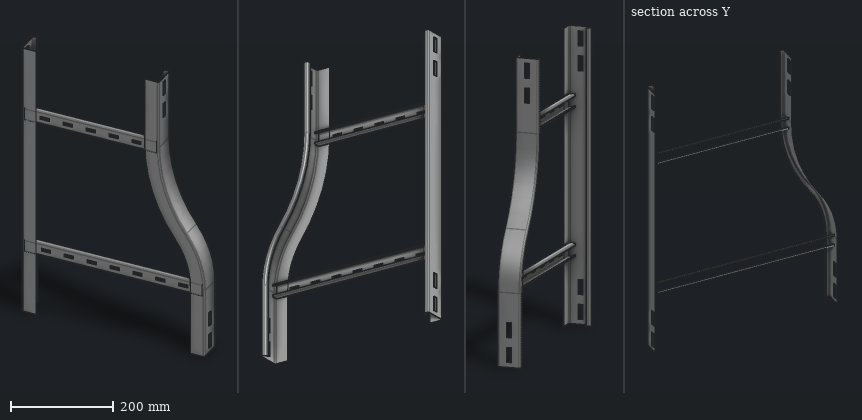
import cadquery as cq
import math

LENGTH = 600.0
WIDE_WIDTH = LENGTH * 2 / 3
NARROW_WIDTH = LENGTH / 2
SHEET = 1.5
CUTTER_DEPTH = 4 * SHEET

RAIL_DEPTH = LENGTH / 12
FRONT_FLANGE = 31.0
BACK_FLANGE = 12.5
LIP = 9.0
RAIL_BEND = 3.5
LIP_BEND = 5.0

BEND_LOW_Z = LENGTH / 4
BEND_HIGH_Z = LENGTH * 3 / 4
BEND_HEIGHT = BEND_HIGH_Z - BEND_LOW_Z
BEND_SHIFT = WIDE_WIDTH - NARROW_WIDTH
BEND_ANGLE = 2 * math.atan(BEND_SHIFT / BEND_HEIGHT)
LOWER_RADIUS = LENGTH / 3

RAIL_SLOTS_PER_END = 2
RAIL_SLOT_LENGTH = 30.0
RAIL_SLOT_WIDTH = 9.5
SLOT_PITCH = LENGTH / 12
RAIL_SLOT_END = SLOT_PITCH / 2

RUNG_HEIGHT = 28.0
RUNG_DEPTH = 15.0
RUNG_LIP = 5.0
RUNG_BEND = 2.5
RUNG_INSET = 6.0
RUNG_SLOT_LENGTH = 20.0
RUNG_SLOT_WIDTH = 6.0
LOW_RUNG_Z = BEND_LOW_Z
HIGH_RUNG_Z = BEND_HIGH_Z
LOW_SLOT_COUNT = 7
HIGH_SLOT_COUNT = 5
LOW_SLOT_START = 52.0
HIGH_SLOT_START = SLOT_PITCH


def bent_section(outer, inner, bend_radii):
    """Wire in the XY plane of a bent strip.

    `outer` and `inner` list the corners of its two sides from end to end;
    `bend_radii` holds the outer radius of each bend in the same order.
    """
    wire = cq.Wire.makePolygon([cq.Vector(*p) for p in outer + inner[::-1]], close=True)
    for corners, wall in ((outer, 0), (inner, SHEET)):
        for corner, bend_radius in zip(corners[1:-1], bend_radii):
            bend = cq.Vector(*corner)
            vertex = min(wire.Vertices(), key=lambda v: (v.Center() - bend).Length)
            wire = wire.fillet2D(bend_radius - wall, [vertex])
    return wire


def rail_section(web_x, inward):
    """Rail section with its outer web face at web_x; inward is the X direction (1 or -1) of the flanges."""
    outer = [
        (FRONT_FLANGE, 0),
        (0, 0),
        (0, RAIL_DEPTH),
        (BACK_FLANGE, RAIL_DEPTH),
        (BACK_FLANGE, RAIL_DEPTH - LIP),
    ]
    inner = [
        (FRONT_FLANGE, SHEET),
        (SHEET, SHEET),
        (SHEET, RAIL_DEPTH - SHEET),
        (BACK_FLANGE - SHEET, RAIL_DEPTH - SHEET),
        (BACK_FLANGE - SHEET, RAIL_DEPTH - LIP),
    ]
    return bent_section(
        [(web_x + inward * x, y) for x, y in outer],
        [(web_x + inward * x, y) for x, y in inner],
        [RAIL_BEND, RAIL_BEND, LIP_BEND],
    )


def rail_slots(low_x, high_x):
    """Cutters for the web slots of a rail whose outer web face is at low_x below and high_x above."""
    cutters = cq.Workplane()
    for i in range(RAIL_SLOTS_PER_END):
        offset = RAIL_SLOT_END + i * SLOT_PITCH
        for x, z in ((low_x, offset), (high_x, LENGTH - offset)):
            cutter = cq.Workplane().box(CUTTER_DEPTH, RAIL_SLOT_WIDTH, RAIL_SLOT_LENGTH)
            cutters = cutters.add(cutter.translate((x, RAIL_DEPTH / 2, z)))
    return cutters.combine()


def make_straight_rail():
    rail = cq.Workplane(rail_section(0, 1)).toPending().extrude(LENGTH)
    return rail.cut(rail_slots(0, 0))


def make_curved_rail():
    join_x = WIDE_WIDTH - LOWER_RADIUS * (1 - math.cos(BEND_ANGLE))
    join_z = BEND_LOW_Z + LOWER_RADIUS * math.sin(BEND_ANGLE)
    path = (
        cq.Workplane("XZ")
        .moveTo(WIDE_WIDTH, 0)
        .lineTo(WIDE_WIDTH, BEND_LOW_Z)
        .tangentArcPoint((join_x, join_z), relative=False)
        .tangentArcPoint((NARROW_WIDTH, BEND_HIGH_Z), relative=False)
        .lineTo(NARROW_WIDTH, LENGTH)
    )
    rail = cq.Workplane(rail_section(WIDE_WIDTH, -1)).toPending().sweep(path)
    return rail.cut(rail_slots(WIDE_WIDTH, NARROW_WIDTH))


def make_rung(center_z, outer_width, slot_start, slot_count):
    length = outer_width - 2 * RUNG_INSET
    half = RUNG_HEIGHT / 2
    lip_end = half - RUNG_LIP
    inner_half = half - SHEET
    inner_depth = RUNG_DEPTH - SHEET
    outer = [
        (RUNG_DEPTH, -lip_end),
        (RUNG_DEPTH, -half),
        (0, -half),
        (0, half),
        (RUNG_DEPTH, half),
        (RUNG_DEPTH, lip_end),
    ]
    inner = [
        (inner_depth, -lip_end),
        (inner_depth, -inner_half),
        (SHEET, -inner_half),
        (SHEET, inner_half),
        (inner_depth, inner_half),
        (inner_depth, lip_end),
    ]
    section = bent_section(outer, inner, [RUNG_BEND] * (len(outer) - 2))
    placed = section.moved(cq.Plane.YZ(origin=(RUNG_INSET, SHEET, center_z)).location)
    rung = cq.Workplane("YZ").add(placed).toPending().extrude(length)
    for i in range(slot_count):
        cutter = cq.Workplane().box(RUNG_SLOT_LENGTH, CUTTER_DEPTH, RUNG_SLOT_WIDTH)
        rung = rung.cut(cutter.translate((slot_start + i * SLOT_PITCH, SHEET, center_z)))
    return rung


straight_rail = make_straight_rail()
curved_rail = make_curved_rail()
rung_layout = (
    (LOW_RUNG_Z, WIDE_WIDTH, LOW_SLOT_START, LOW_SLOT_COUNT),
    (HIGH_RUNG_Z, NARROW_WIDTH, HIGH_SLOT_START, HIGH_SLOT_COUNT),
)
rungs = [make_rung(*layout) for layout in rung_layout]

result = cq.Compound.makeCompound([straight_rail.val(), curved_rail.val(), *[rung.val() for rung in rungs]])